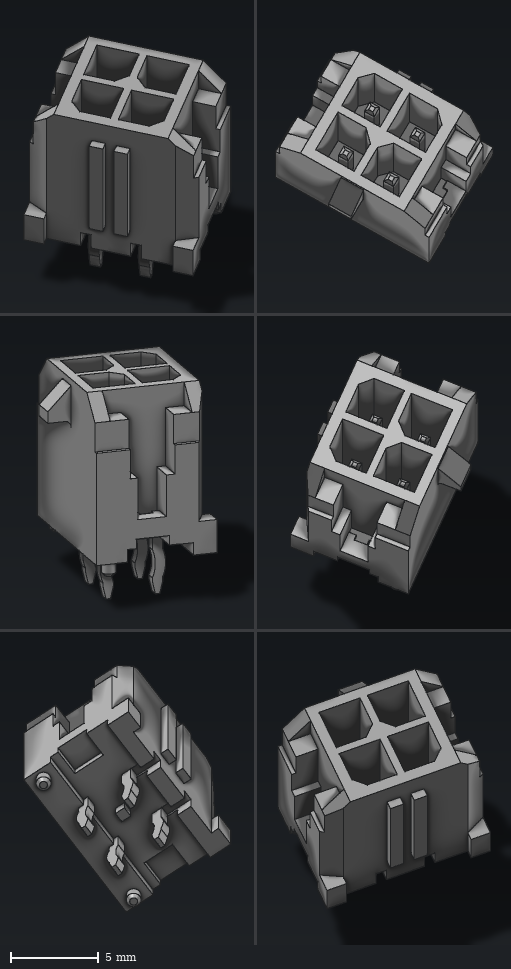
import cadquery as cq
import math


core_side = 6.85
core_half = core_side / 2
height = 9.92
wing_half = 5.075
upper_wing_half = 4.81
wing_step_z = 6.75
wing_top_z = 8.5
gusset_thickness = 0.935

corner_x = 3.86
corner_depth = 0.63
foot_height = 2.0
front_reach = 0.5

channel_half = 1.36
channel_ledge_z = 5.0
lower_channel_half = 0.87
channel_floor_z = 2.5

contact_pitch = 3.0
contact_offset_y = 0.045
contact_width = 0.64
contact_top_z = 7.0
tip_width = 0.28
tip_length = (contact_width - tip_width) / 2
leg_bow_start_z = -0.5
leg_bow_end_z = -2.19
leg_bow = 0.17
leg_taper_z = -2.41
leg_end_z = -3.17

recess_depth = 0.25
recess_reach = 3.817
recess_stem_reach = 4.13
recess_stem_width = 0.8

cavity_side = 2.53
cavity_offset_y = 0.02
cavity_floor_z = channel_floor_z
cavity_chamfer = 0.68
cavity_draft = 0.03

tunnel_rear_y = 1.54
tunnel_front_y = -2.48
tunnel_height = 0.76
notch_half = 1.0
notch_roof_z = 1.34
leg_slot_roof_z = 1.03
standoff_side = 0.63

rib_width = 0.82
rib_spacing = 1.475
rib_top_z = wing_top_z

latch_width = 1.49
latch_reach = 1.42
latch_top_z = 9.52
latch_bottom_z = 7.41
latch_fillet = 0.4

peg_x = 4.46
peg_y = 2.465
peg_radius = 0.425
peg_length = 0.86
peg_chamfer = 0.2


def block(x0, x1, y0, y1, z0, z1):
    """Axis-aligned box between two opposite corners."""
    size = (x1 - x0, y1 - y0, z1 - z0)
    return cq.Workplane("XY").box(*size, centered=False).translate((x0, y0, z0))


def mirrored_pair(solid):
    """The solid together with its mirror image across X = 0."""
    return solid.union(solid.mirror("YZ"))


def side_wing():
    """Right-hand wing with its step, channel, gussets, slanted corner and foot."""
    wing = block(0, wing_half, -core_half, core_half, 0, wing_step_z)
    upper = block(0, upper_wing_half, -core_half, core_half, wing_step_z, wing_top_z)
    wing = wing.union(upper)

    gusset = (
        cq.Workplane("XZ")
        .moveTo(0, wing_top_z)
        .lineTo(upper_wing_half, wing_top_z)
        .lineTo(core_half, height)
        .lineTo(0, height)
        .close()
        .extrude(gusset_thickness)
    )
    wing = wing.union(gusset.translate((0, core_half, 0)))
    wing = wing.union(gusset.translate((0, gusset_thickness - core_half, 0)))

    corner = (
        cq.Workplane("XY")
        .workplane(offset=foot_height)
        .moveTo(corner_x, -core_half)
        .lineTo(wing_half, -core_half)
        .lineTo(wing_half, corner_depth - core_half)
        .close()
        .extrude(height)
    )
    wing = wing.cut(corner)

    front = -core_half - front_reach
    wing = wing.union(block(corner_x, wing_half, front, -core_half, 0, foot_height))

    wing = wing.cut(block(core_half, wing_half, -channel_half, channel_half, channel_ledge_z, height))
    lower_rear = contact_offset_y + lower_channel_half
    lower_front = contact_offset_y - lower_channel_half
    wing = wing.cut(block(core_half, wing_half, lower_front, lower_rear, channel_floor_z, height))

    recess_z = channel_floor_z - recess_depth
    recess = block(core_half, recess_reach, lower_front, lower_rear, recess_z, channel_floor_z)
    stem_rear = contact_offset_y + recess_stem_width / 2
    stem_front = contact_offset_y - recess_stem_width / 2
    stem = block(core_half, recess_stem_reach, stem_front, stem_rear, recess_z, channel_floor_z)
    wing = wing.cut(recess).cut(stem)

    return wing.cut(block(core_half, wing_half, -notch_half, notch_half, 0, notch_roof_z))


def cavity(column, row):
    """Contact cavity; column and row are -1 or +1."""
    depth = height - cavity_floor_z
    half = cavity_side / 2
    chamfer_side = -column * row
    tool = (
        cq.Workplane("XY")
        .moveTo(-chamfer_side * half, -half)
        .lineTo(chamfer_side * (half - cavity_chamfer), -half)
        .lineTo(chamfer_side * half, cavity_chamfer - half)
        .lineTo(chamfer_side * half, half)
        .lineTo(-chamfer_side * half, half)
        .close()
        .extrude(depth)
    )
    draft = (
        cq.Workplane("YZ")
        .workplane(offset=-half)
        .moveTo(half, 0)
        .lineTo(half + cavity_draft, depth)
        .lineTo(half, depth)
        .close()
        .extrude(cavity_side)
    )
    center_x = column * contact_pitch / 2
    center_y = row * contact_pitch / 2 + cavity_offset_y
    return tool.union(draft).translate((center_x, center_y, cavity_floor_z))


def contact(column, row):
    """Square contact with a pointed top and a bowed solder leg; column and row are -1 or +1."""
    half = contact_width / 2
    shoulder_z = contact_top_z - tip_length
    bow_mid_z = (leg_bow_start_z + leg_bow_end_z) / 2
    end_half = tip_width / 2
    leg = (
        cq.Workplane("YZ")
        .workplane(offset=-half)
        .moveTo(-half, shoulder_z)
        .lineTo(-half, leg_bow_start_z)
        .threePointArc((-half + row * leg_bow, bow_mid_z), (-half, leg_bow_end_z))
        .lineTo(-half, leg_taper_z)
        .lineTo(-end_half, leg_end_z)
        .lineTo(end_half, leg_end_z)
        .lineTo(half, leg_taper_z)
        .lineTo(half, leg_bow_end_z)
        .threePointArc((half + row * leg_bow, bow_mid_z), (half, leg_bow_start_z))
        .lineTo(half, shoulder_z)
        .close()
        .extrude(contact_width)
    )
    tip = (
        cq.Workplane("XY")
        .workplane(offset=shoulder_z)
        .rect(contact_width, contact_width)
        .workplane(offset=tip_length)
        .rect(tip_width, tip_width)
        .loft()
    )
    center_x = column * contact_pitch / 2
    center_y = row * contact_pitch / 2 + contact_offset_y
    return leg.union(tip).translate((center_x, center_y, 0))


def leg_slot():
    """Slot in the front wall in front of the right-hand leg."""
    center_x = contact_pitch / 2
    half = contact_width / 2
    leg_front_y = contact_offset_y - contact_pitch / 2 - half
    return block(center_x - half, center_x + half, -core_half, leg_front_y, 0, leg_slot_roof_z)


def front_rib():
    """Right-hand rib on the front face."""
    inner_x = (rib_spacing - rib_width) / 2
    front = -core_half - front_reach
    return block(inner_x, inner_x + rib_width, front, -core_half, foot_height, rib_top_z)


def latch():
    """Ramped catch on the rear face with a fillet below it."""
    tip_y = core_half + latch_reach
    fillet_center_y = core_half + latch_fillet
    fillet_center_z = latch_bottom_z - latch_fillet
    arc_offset = latch_fillet * math.sqrt(0.5)
    return (
        cq.Workplane("YZ")
        .workplane(offset=-latch_width / 2)
        .moveTo(core_half, latch_top_z)
        .lineTo(tip_y, latch_top_z - latch_reach)
        .lineTo(tip_y, latch_bottom_z)
        .lineTo(fillet_center_y, latch_bottom_z)
        .threePointArc(
            (fillet_center_y - arc_offset, fillet_center_z + arc_offset),
            (core_half, fillet_center_z),
        )
        .close()
        .extrude(latch_width)
    )


def locating_peg():
    """Right-hand peg under the housing."""
    peg = cq.Workplane("XY").circle(peg_radius).extrude(-peg_length)
    return peg.faces("<Z").chamfer(peg_chamfer).translate((peg_x, peg_y, 0))


core = block(-core_half, core_half, -core_half, core_half, 0, height)
housing = core.union(mirrored_pair(side_wing()))

tunnel = block(-wing_half, wing_half, tunnel_front_y, tunnel_rear_y, 0, tunnel_height)
housing = housing.cut(tunnel).cut(mirrored_pair(leg_slot()))

standoff = cq.Workplane("XY").rect(standoff_side, standoff_side).extrude(tunnel_height)
housing = housing.union(standoff.translate((0, contact_offset_y, 0)))

housing = housing.union(mirrored_pair(front_rib()))
housing = housing.union(latch())
housing = housing.union(mirrored_pair(locating_peg()))

result = housing
for column in (-1, 1):
    for row in (-1, 1):
        result = result.cut(cavity(column, row))
        result = result.union(contact(column, row))